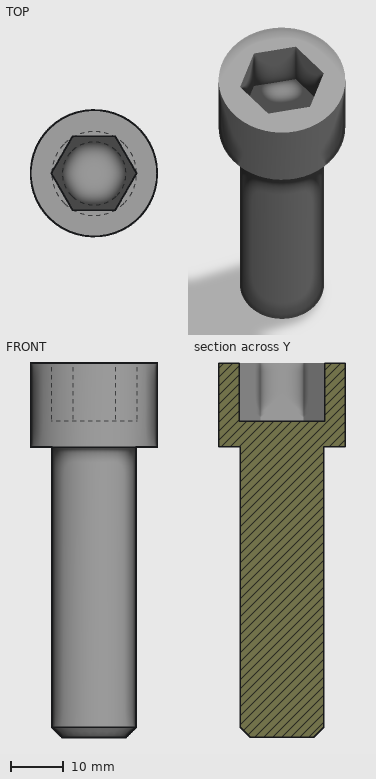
import cadquery as cq
import math

total_length = 71.0
head_diameter = 24.0
shank_diameter = 16.0
head_height = shank_diameter
shank_length = total_length - head_height
tip_chamfer = 2.0
socket_across_flats = 14.0
socket_depth = 11.0


def make_head():
    return cq.Workplane("XY").circle(head_diameter / 2).extrude(head_height)


def make_shank():
    shank = cq.Workplane("XY").circle(shank_diameter / 2).extrude(-shank_length)
    return shank.faces("<Z").chamfer(tip_chamfer)


def make_socket():
    """Hexagonal key socket with two corners on the X axis."""
    across_corners = socket_across_flats / math.cos(math.pi / 6)
    top = cq.Workplane("XY").workplane(offset=head_height)
    return top.polygon(6, across_corners).extrude(-socket_depth)


result = make_head().union(make_shank()).cut(make_socket())